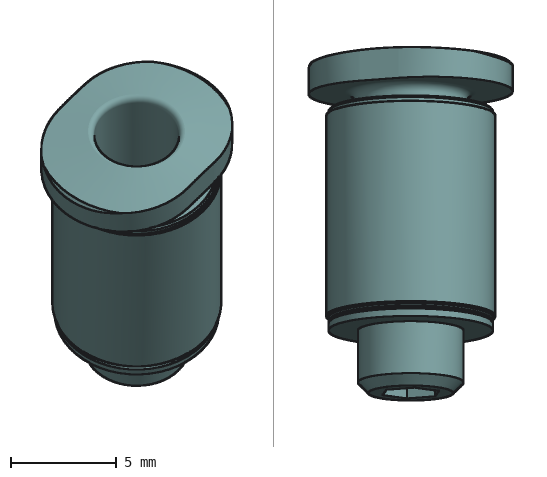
import cadquery as cq
import math

total_height = 16.2
collar_bottom_z = 3.0
collar_top_z = 3.35
groove_top_z = 3.52
sleeve_bottom_z = 3.7
sleeve_top_z = 13.32
shoulder_z = 13.6
head_bottom_z = 14.42

sleeve_radius = 8.0 / 2
collar_radius = 7.8 / 2
collar_chamfer = 0.1
stem_radius = 5.0 / 2
stem_chamfer = 0.5
neck_radius = 5.4 / 2
neck_fillet = 0.4

head_length = 9.8
head_width = 2 * collar_radius
head_slope = math.radians(10)
head_edge_chamfer = 0.16

bore_radius = 4.0 / 2
bore_lip_radius = 0.29
hex_across_flats = 2.5


def make_body():
    """Turned stem, grooved collar, sleeve, shoulder and neck."""
    groove_radius = collar_radius - collar_chamfer
    profile = (
        cq.Workplane("XZ")
        .lineTo(stem_radius - stem_chamfer, 0)
        .lineTo(stem_radius, stem_chamfer)
        .lineTo(stem_radius, collar_bottom_z)
        .lineTo(collar_radius, collar_bottom_z)
        .lineTo(collar_radius, collar_top_z)
        .lineTo(groove_radius, collar_top_z + collar_chamfer)
        .lineTo(groove_radius, groove_top_z)
        .lineTo(collar_radius, groove_top_z + collar_chamfer)
        .lineTo(collar_radius, sleeve_bottom_z)
        .lineTo(sleeve_radius, sleeve_bottom_z)
        .lineTo(sleeve_radius, sleeve_top_z)
        .lineTo(collar_radius, sleeve_top_z)
        .lineTo(collar_radius, shoulder_z - collar_chamfer)
        .lineTo(groove_radius, shoulder_z)
        .lineTo(neck_radius, shoulder_z)
        .lineTo(neck_radius, head_bottom_z - neck_fillet)
        .radiusArc((neck_radius + neck_fillet, head_bottom_z), neck_fillet)
        .lineTo(0, head_bottom_z)
        .close()
    )
    return profile.revolve(360, (0, 0, 0), (0, 1, 0))


def make_head():
    """Oblong prism trimmed by a turned cone with a chamfered rim."""
    oblong = (
        cq.Workplane("XY", origin=(0, 0, head_bottom_z))
        .slot2D(head_length, head_width, 90)
        .extrude(total_height - head_bottom_z)
    )
    rim_radius = head_length / 2
    cone_top_radius = bore_radius + bore_lip_radius
    cone_edge_radius = rim_radius - head_edge_chamfer
    cone_edge_z = total_height - (cone_edge_radius - cone_top_radius) * math.tan(head_slope)
    envelope = (
        cq.Workplane("XZ", origin=(0, 0, head_bottom_z))
        .lineTo(rim_radius, 0)
        .lineTo(rim_radius, cone_edge_z - head_edge_chamfer - head_bottom_z)
        .lineTo(cone_edge_radius, cone_edge_z - head_bottom_z)
        .lineTo(cone_top_radius, total_height - head_bottom_z)
        .lineTo(0, total_height - head_bottom_z)
        .close()
        .revolve(360, (0, 0, 0), (0, 1, 0))
    )
    return oblong.intersect(envelope)


def make_bore():
    """Round bore with a rounded mouth, ending level with the collar's underside."""
    profile = (
        cq.Workplane("XZ")
        .moveTo(0, collar_bottom_z)
        .lineTo(bore_radius, collar_bottom_z)
        .lineTo(bore_radius, total_height - bore_lip_radius)
        .radiusArc((bore_radius + bore_lip_radius, total_height), bore_lip_radius)
        .lineTo(0, total_height)
        .close()
    )
    return profile.revolve(360, (0, 0, 0), (0, 1, 0))


def make_hex_hole():
    """Hexagonal passage through the stem, with corners along Y."""
    across_corners = hex_across_flats / math.cos(math.pi / 6)
    return (
        cq.Workplane("XY")
        .transformed(rotate=(0, 0, 90))
        .polygon(6, across_corners)
        .extrude(collar_bottom_z)
    )


result = make_body().union(make_head()).cut(make_bore()).cut(make_hex_hole())